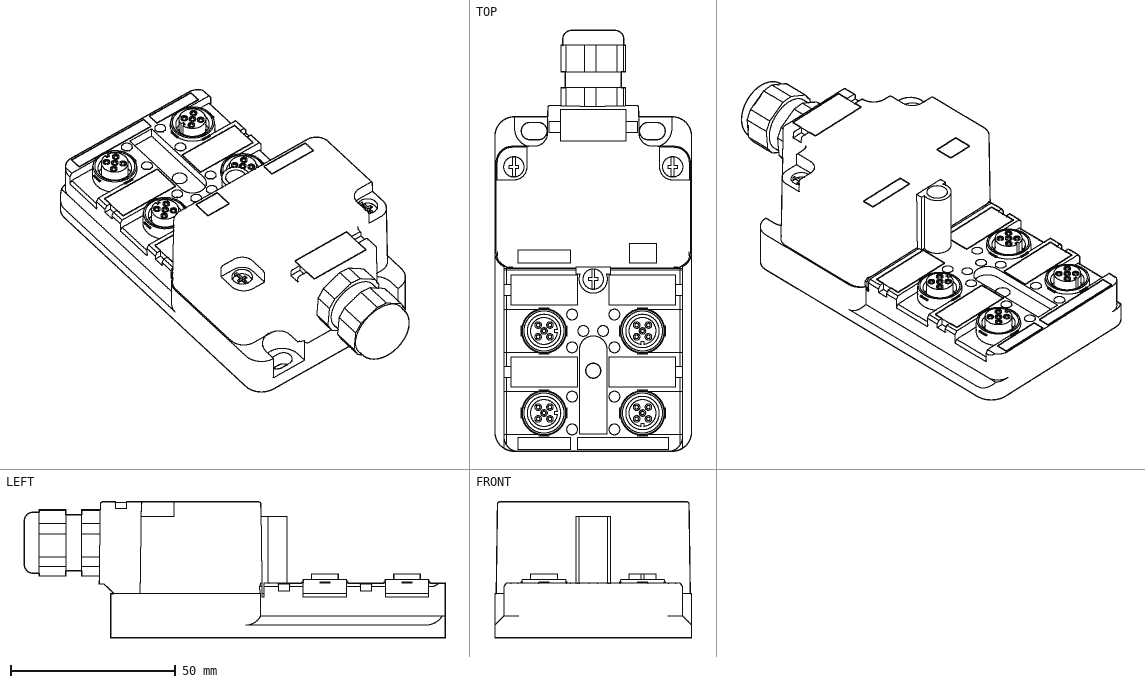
import cadquery as cq
import math


BASE_WIDTH = 60.0
BASE_LENGTH = 102.0
BASE_CORNER = 6.0
BASE_TOP = 13.5

DECK_WIDTH = 54.4
DECK_TOP = 16.7
DECK_CORNER = 4.4
DECK_REAR = 55.2
DECK_EDGE = 1.1
DECK_EDGE_INSET = 0.7
LEDGE_OUTER_Z = 3.9
LEDGE_INNER_Z = 6.7

HOUSING_WIDTH = 59.2
HOUSING_FRONT = 55.8
HOUSING_REAR = 93.0
HOUSING_TOP = 41.5
HOUSING_CORNER = 5.0
HOUSING_DRAFT = 0.8
HOUSING_TOP_FILLET = 0.8
NECK_WIDTH = 27.8
NECK_REAR = 105.5
NECK_CORNER = 0.8
NECK_UNDERSIDE = 16.4
NECK_BEVEL_START = 101.0
NECK_BEVEL_END = 104.0

LUG_X = 18.0
LUG_Y = 97.6
LUG_THICKNESS = 5.0
LUG_CLEARANCE_RADIUS = 6.0
LUG_CLEARANCE_Y = 98.6
LUG_SLOT_LENGTH = 7.8
LUG_SLOT_WIDTH = 5.2

SCREW_RADIUS = 3.1
SCREW_SEAT_TOP = 37.05
SCREW_HEAD_DROP = 1.0
SCREW_HEAD_HEIGHT = 1.6
SCREW_HEAD_ROUNDING = 1.5
SCREW_CROSS_LENGTH = 3.0
SCREW_SLOT_WIDTH = 0.9
SCREW_SLOT_DEPTH = 1.0
EAR_SCREW_X = 24.2
EAR_SCREW_Y = 86.7
EAR_RADIUS = 4.0
PILLAR_Y = 52.5
PILLAR_RADIUS = 4.3
PILLAR_RIB_OVERLAP = 1.0
PILLAR_SCREW_TOP = 30.0
PILLAR_RIB_WIDTH = 10.4
PILLAR_RIB_FRONT = 54.0

LABEL_DEPTH = 0.2
NECK_LABEL = (-10.0, 10.0, 94.6, 104.2)
FLAT_LABELS = (
    (-23.0, -7.0, 57.4, 61.4, HOUSING_TOP),
    (11.0, 19.2, 57.4, 63.3, HOUSING_TOP),
    (-23.0, -7.0, 0.6, 4.3, DECK_TOP),
    (-4.8, 23.0, 0.6, 4.3, DECK_TOP),
)
NECK_NOTCH_Y = 98.85
NECK_NOTCH_WIDTH = 3.4
NECK_NOTCH_DEPTH = 2.1
DECK_LABEL_INNER_X = 4.8
DECK_LABEL_OUTER_X = 25.1
DECK_LABEL_LENGTH = 9.15
DECK_LABEL_Y = (24.2, 49.15)
DECK_NOTCH_WIDTH = 3.4
DECK_NOTCH_FLOOR = 14.3

SOCKET_X = 15.0
SOCKET_Y = (11.7, 36.7)
SHELF_HALF_LENGTH = 6.6
COLLAR_RADIUS = 6.8
COLLAR_TOP = 17.85
COLLAR_TOP_RADIUS = 6.6
COLLAR_TAB_REACH = 7.05
COLLAR_TAB_WIDTH = 3.0
COLLAR_TAB_RISE = 0.3
COLLAR_BORE_RADIUS = 5.1
COLLAR_MOUTH_RADIUS = 6.1
COLLAR_MOUTH_DEPTH = 0.8
CORE_RADIUS = 4.1
CORE_TOP = 19.5
PIN_RADIUS = 0.55
PIN_MOUTH_RADIUS = 1.0
PIN_MOUTH_DEPTH = 0.3
PIN_SPACING = 3.6
PIN_DEPTH = 2.0
KEY_WIDTH = 0.9

LED_RADIUS = 1.65
LED_X = 6.45
LED_Y_OFFSET = 5.0
CENTRE_LED_X = 3.0
CENTRE_SLOT_RADIUS = 4.2
CENTRE_SLOT_FRONT = 5.3
CENTRE_SLOT_END = 35.2
CENTRE_HOLE_RADIUS = 2.25
CENTRE_HOLE_Y = 24.6

GLAND_Z = 29.0
GLAND_CORNER_RADIUS = 10.2
GLAND_FIRST_CORNER = 35.0
GLAND_CORNER_COUNT = 6
GLAND_CORNER_HALF_ANGLE = 10.0
GLAND_NECK_RADIUS = 8.6
GLAND_DOME_RADIUS = 9.35
GLAND_DOME_ROUNDING = 2.8
GLAND_FLANGE_END = 110.8
GLAND_NUT_START = 115.6
GLAND_NUT_END = 123.8
GLAND_TIP = 128.33
GLAND_INSERTION = 2.0

SIDES = (-1, 1)


def box(x0, x1, y0, y1, z0, z1):
    return cq.Workplane("XY").box(x1 - x0, y1 - y0, z1 - z0, centered=False).translate((x0, y0, z0))


def disc(x, y, radius, z0, z1):
    return cq.Workplane("XY").workplane(offset=z0).center(x, y).circle(radius).extrude(z1 - z0)


def cone(lower_radius, upper_radius, z0, z1):
    profile = cq.Workplane("XZ").moveTo(0, z0).lineTo(lower_radius, z0).lineTo(upper_radius, z1).lineTo(0, z1)
    return profile.close().revolve(360, (0, 0, 0), (0, 1, 0))


def base_plate():
    """Lower tray: full-size foot, sloping side ledges, and a tall rear part with the mounting lugs."""
    half = BASE_WIDTH / 2
    deck_half = DECK_WIDTH / 2
    foot = box(-half, half, 0, BASE_LENGTH, 0, LEDGE_INNER_Z).edges("|Z").fillet(BASE_CORNER)
    for side in SIDES:
        ledge_cut = (
            cq.Workplane("XZ")
            .moveTo(side * deck_half, LEDGE_INNER_Z)
            .lineTo(side * half, LEDGE_OUTER_Z)
            .lineTo(side * half, LEDGE_INNER_Z)
            .close()
            .extrude(-HOUSING_FRONT - HOUSING_CORNER)
        )
        foot = foot.cut(ledge_cut)
    rear = box(-half, half, HOUSING_FRONT, BASE_LENGTH, LEDGE_OUTER_Z, BASE_TOP)
    rear = rear.edges("|Z and >Y").fillet(BASE_CORNER).edges("|Z and <Y").fillet(HOUSING_CORNER)
    plate = foot.union(rear)
    radius = LUG_CLEARANCE_RADIUS
    for side in SIDES:
        x = side * LUG_X
        clearance = disc(x, LUG_CLEARANCE_Y, radius, LUG_THICKNESS, BASE_TOP).union(
            box(x - radius, x + radius, LUG_CLEARANCE_Y, BASE_LENGTH, LUG_THICKNESS, BASE_TOP)
        )
        slot = (
            cq.Workplane("XY").center(x, LUG_Y).slot2D(LUG_SLOT_LENGTH, LUG_SLOT_WIDTH).extrude(LUG_THICKNESS)
        )
        plate = plate.cut(clearance).cut(slot)
    return plate


def deck_profile(top):
    """Deck body of a given height with chamfered side edges, from the front face into the housing."""
    half = DECK_WIDTH / 2
    inset = half - DECK_EDGE_INSET
    shoulder = top - DECK_EDGE
    points = [(-half, 0), (half, 0), (half, shoulder), (inset, top), (-inset, top), (-half, shoulder)]
    length = HOUSING_FRONT + HOUSING_CORNER
    prism = cq.Workplane("XZ").polyline(points).close().extrude(-length)
    corners = box(-half, half, 0, length, 0, top).edges("|Z and <Y").fillet(DECK_CORNER)
    return prism.intersect(corners)


def deck():
    """Deck at full height, lowered to a shelf beside every socket and along the housing."""
    body = deck_profile(DECK_TOP)
    half = DECK_WIDTH / 2
    lowered = box(-half, half, DECK_REAR, HOUSING_FRONT, 0, DECK_TOP)
    for y in SOCKET_Y:
        for side in SIDES:
            x0, x1 = sorted((side * SOCKET_X, side * half))
            lowered = lowered.union(box(x0, x1, y - SHELF_HALF_LENGTH, y + SHELF_HALF_LENGTH, 0, DECK_TOP))
    return body.cut(lowered).union(deck_profile(BASE_TOP))


def housing():
    """Tall drafted housing with a narrower neck for the cable gland."""
    half = HOUSING_WIDTH / 2
    neck = NECK_WIDTH / 2
    lug_radius = LUG_X - neck
    lug_arc_y = HOUSING_REAR + lug_radius

    def arc(path, centre_x, centre_y, radius, toward_x, toward_y, end):
        """Quarter arc around a centre, passing it on the given diagonal."""
        reach = radius * math.sqrt(0.5)
        return path.threePointArc((centre_x + toward_x * reach, centre_y + toward_y * reach), end)

    r, c = HOUSING_CORNER, NECK_CORNER
    front, rear = HOUSING_FRONT, HOUSING_REAR
    path = cq.Workplane("XY").workplane(offset=BASE_TOP).moveTo(-half + r, front).lineTo(half - r, front)
    path = arc(path, half - r, front + r, r, 1, -1, (half, front + r)).lineTo(half, rear - r)
    path = arc(path, half - r, rear - r, r, 1, 1, (half - r, rear)).lineTo(LUG_X, rear)
    path = arc(path, LUG_X, lug_arc_y, lug_radius, -1, -1, (neck, lug_arc_y)).lineTo(neck, NECK_REAR - c)
    path = arc(path, neck - c, NECK_REAR - c, c, 1, 1, (neck - c, NECK_REAR)).lineTo(-neck + c, NECK_REAR)
    path = arc(path, -neck + c, NECK_REAR - c, c, -1, 1, (-neck, NECK_REAR - c)).lineTo(-neck, lug_arc_y)
    path = arc(path, -LUG_X, lug_arc_y, lug_radius, 1, -1, (-LUG_X, rear)).lineTo(-half + r, rear)
    path = arc(path, -half + r, rear - r, r, -1, 1, (-half, rear - r)).lineTo(-half, front + r)
    path = arc(path, -half + r, front + r, r, -1, -1, (-half + r, front))
    body = path.close().extrude(HOUSING_TOP - BASE_TOP, taper=HOUSING_DRAFT)
    body = body.faces(">Z").edges().fillet(HOUSING_TOP_FILLET)

    for side in SIDES:
        x, y = side * EAR_SCREW_X, EAR_SCREW_Y
        x0, x1 = sorted((side * (EAR_SCREW_X - EAR_RADIUS), side * half))
        ear = box(x0, x1, y - EAR_RADIUS, HOUSING_REAR, SCREW_SEAT_TOP, HOUSING_TOP)
        inner = "<X" if side > 0 else ">X"
        body = body.cut(ear.edges("|Z and <Y").edges(inner).fillet(EAR_RADIUS))

    underside = (
        cq.Workplane("YZ")
        .moveTo(NECK_BEVEL_START, BASE_TOP)
        .lineTo(NECK_BEVEL_END, NECK_UNDERSIDE)
        .lineTo(NECK_REAR, NECK_UNDERSIDE)
        .lineTo(NECK_REAR, BASE_TOP)
        .close()
        .extrude(neck, both=True)
    )
    return body.cut(underside)


def pillar():
    """Screw pillar against the front of the housing, with a flat rib behind it."""
    rib_half = PILLAR_RIB_WIDTH / 2
    rib_rear = HOUSING_FRONT + PILLAR_RIB_OVERLAP
    rib = box(-rib_half, rib_half, PILLAR_RIB_FRONT, rib_rear, BASE_TOP, SCREW_SEAT_TOP)
    return rib.union(disc(0, PILLAR_Y, PILLAR_RADIUS, BASE_TOP, SCREW_SEAT_TOP))


def add_screw(body, x, y, head_top):
    """Bore down to a rounded screw head that carries a full-width slot with a short cross."""
    bore_floor = head_top - SCREW_HEAD_HEIGHT
    body = body.cut(disc(x, y, SCREW_RADIUS, bore_floor, HOUSING_TOP))
    head = disc(x, y, SCREW_RADIUS, bore_floor, head_top).faces(">Z").edges().fillet(SCREW_HEAD_ROUNDING)
    half_length, half_width = SCREW_CROSS_LENGTH / 2, SCREW_SLOT_WIDTH / 2
    floor = head_top - SCREW_SLOT_DEPTH
    cross = box(x - half_length, x + half_length, y - half_width, y + half_width, floor, head_top)
    slot = box(x - half_width, x + half_width, y - SCREW_RADIUS, y + SCREW_RADIUS, floor, head_top)
    return body.union(head).cut(cross).cut(slot)


def add_socket(body, x, y, key_angle):
    """Round five-pole socket: tabbed collar with a flared bore, and a keyed core with pin holes."""
    half_tab = COLLAR_TAB_WIDTH / 2
    collar = disc(0, 0, COLLAR_RADIUS, BASE_TOP, DECK_TOP)
    for reach_x, reach_y in ((COLLAR_TAB_REACH, half_tab), (half_tab, COLLAR_TAB_REACH)):
        collar = collar.union(box(-reach_x, reach_x, -reach_y, reach_y, DECK_TOP, DECK_TOP + COLLAR_TAB_RISE))
    collar = collar.union(cone(COLLAR_RADIUS, COLLAR_TOP_RADIUS, DECK_TOP, COLLAR_TOP))
    collar = collar.translate((x, y, 0))
    mouth = cone(COLLAR_BORE_RADIUS, COLLAR_MOUTH_RADIUS, COLLAR_TOP - COLLAR_MOUTH_DEPTH, COLLAR_TOP)
    bore = disc(x, y, COLLAR_BORE_RADIUS, BASE_TOP, COLLAR_TOP).union(mouth.translate((x, y, 0)))

    core = disc(x, y, CORE_RADIUS, BASE_TOP, CORE_TOP)
    offset = PIN_SPACING / 2
    for dx, dy in ((0, 0), (-offset, -offset), (-offset, offset), (offset, -offset), (offset, offset)):
        core = core.cut(disc(x + dx, y + dy, PIN_RADIUS, CORE_TOP - PIN_DEPTH, CORE_TOP))
        core = core.cut(disc(x + dx, y + dy, PIN_MOUTH_RADIUS, CORE_TOP - PIN_MOUTH_DEPTH, CORE_TOP))
    key = box(CORE_RADIUS - KEY_WIDTH, CORE_RADIUS, -KEY_WIDTH / 2, KEY_WIDTH / 2, BASE_TOP, CORE_TOP)
    key = key.rotate((0, 0, 0), (0, 0, 1), key_angle).translate((x, y, 0))
    return body.union(collar).cut(bore).union(core.cut(key))


def gland():
    """Cable gland: flange and nut with blunted hexagon corners, round neck and domed end."""
    half = GLAND_CORNER_HALF_ANGLE
    corners = []
    for i in range(GLAND_CORNER_COUNT):
        for offset in (-half, half):
            angle = math.radians(GLAND_FIRST_CORNER + i * 360 / GLAND_CORNER_COUNT + offset)
            corners.append((GLAND_CORNER_RADIUS * math.cos(angle), GLAND_CORNER_RADIUS * math.sin(angle)))

    def section(y):
        return cq.Workplane("XZ", origin=(0, y, GLAND_Z))

    inner_end = NECK_REAR - GLAND_INSERTION
    flange = section(inner_end).polyline(corners).close().extrude(inner_end - GLAND_FLANGE_END)
    nut = section(GLAND_NUT_START).polyline(corners).close().extrude(GLAND_NUT_START - GLAND_NUT_END)
    neck = section(inner_end).circle(GLAND_NECK_RADIUS).extrude(inner_end - GLAND_NUT_END)
    dome = section(GLAND_NUT_START).circle(GLAND_DOME_RADIUS).extrude(GLAND_NUT_START - GLAND_TIP)
    dome = dome.faces(">Y").edges().fillet(GLAND_DOME_ROUNDING)
    return flange.union(neck).union(nut).union(dome)


def cut_neck_label(body):
    """Shallow label field on the neck and the two notches for releasing the label."""
    x0, x1, y0, y1 = NECK_LABEL
    body = body.cut(box(x0, x1, y0, y1, HOUSING_TOP - LABEL_DEPTH, HOUSING_TOP))
    half = NECK_NOTCH_WIDTH / 2
    for notch_x0, notch_x1 in ((-NECK_WIDTH / 2, x0), (x1, NECK_WIDTH / 2)):
        y0, y1 = NECK_NOTCH_Y - half, NECK_NOTCH_Y + half
        body = body.cut(box(notch_x0, notch_x1, y0, y1, HOUSING_TOP - NECK_NOTCH_DEPTH, HOUSING_TOP))
    return body


def cut_deck_label(body, side, y):
    """Shallow label field on the deck with a release notch at its outer end."""
    x0, x1 = sorted((side * DECK_LABEL_INNER_X, side * DECK_LABEL_OUTER_X))
    y0, y1 = y - DECK_LABEL_LENGTH / 2, y + DECK_LABEL_LENGTH / 2
    body = body.cut(box(x0, x1, y0, y1, DECK_TOP - LABEL_DEPTH, DECK_TOP))
    x0, x1 = sorted((side * DECK_LABEL_OUTER_X, side * DECK_WIDTH / 2))
    half = DECK_NOTCH_WIDTH / 2
    return body.cut(box(x0, x1, y - half, y + half, DECK_NOTCH_FLOOR, DECK_TOP))


def cut_indicators(body):
    for y in SOCKET_Y:
        for dy in (-LED_Y_OFFSET, LED_Y_OFFSET):
            for side in SIDES:
                body = body.cut(disc(side * LED_X, y + dy, LED_RADIUS, BASE_TOP, DECK_TOP))
    for side in SIDES:
        body = body.cut(disc(side * CENTRE_LED_X, SOCKET_Y[1], LED_RADIUS, BASE_TOP, DECK_TOP))
    return body


def cut_centre_slot(body):
    arc_y = CENTRE_SLOT_END - CENTRE_SLOT_RADIUS
    r = CENTRE_SLOT_RADIUS
    body = body.cut(box(-r, r, CENTRE_SLOT_FRONT, arc_y, BASE_TOP, DECK_TOP))
    body = body.cut(disc(0, arc_y, r, BASE_TOP, DECK_TOP))
    return body.cut(disc(0, CENTRE_HOLE_Y, CENTRE_HOLE_RADIUS, 0, DECK_TOP))


result = base_plate().union(deck()).union(housing()).union(pillar()).union(gland())
result = cut_neck_label(result)
for label_x0, label_x1, label_y0, label_y1, surface in FLAT_LABELS:
    result = result.cut(box(label_x0, label_x1, label_y0, label_y1, surface - LABEL_DEPTH, surface))
for label_y in DECK_LABEL_Y:
    for label_side in SIDES:
        result = cut_deck_label(result, label_side, label_y)
result = cut_centre_slot(cut_indicators(result))
for screw_side in SIDES:
    result = add_screw(result, screw_side * EAR_SCREW_X, EAR_SCREW_Y, SCREW_SEAT_TOP - SCREW_HEAD_DROP)
result = add_screw(result, 0, PILLAR_Y, PILLAR_SCREW_TOP)
for socket_y in SOCKET_Y:
    result = add_socket(result, -SOCKET_X, socket_y, 0)
    result = add_socket(result, SOCKET_X, socket_y, -90)